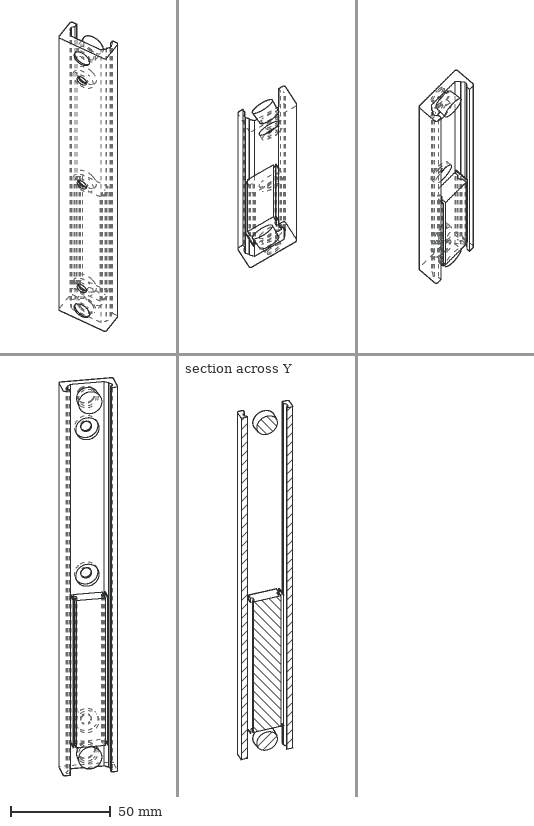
import cadquery as cq

LENGTH = 210.0
WIDTH = 28.0
DEPTH = 12.8

RAIL_DEPTH = 12.4
RAIL_CORNER_RADIUS = 1.0
FLOOR_Y = 4.2
FLOOR_HALF_WIDTH = 8.6
MOUTH_HALF_WIDTH = 10.5

GROOVE_Y = 8.6
RAIL_GROOVE_DEPTH = 1.3
RAIL_GROOVE_HEIGHT = 4.0
RAIL_GROOVE_FLAT = 1.3
SLIDER_GROOVE_DEPTH = 1.0
SLIDER_GROOVE_HEIGHT = 3.0
SLIDER_GROOVE_FLAT = 1.7

HOLE_DIAMETER = 5.5
COUNTERBORE_DIAMETER = 12.0
COUNTERBORE_Y = 1.3
HOLE_SPACING = 80.0

SHANK_DIAMETER = 9.0
SHANK_RECESS = 0.8
HEAD_ROOT_DIAMETER = 11.1
HEAD_TOP_DIAMETER = 12.0
HEAD_TOP_Y = 11.0
PIN_Z = 97.0

SLIDER_LENGTH = 80.5
SLIDER_CENTRE_Z = -49.8
SLIDER_WIDTH = 15.1
SLIDER_BOTTOM_Y = 5.0
CAGE_X = 8.8
CAGE_THICKNESS = 0.5


def groove_points(mouth_x, flat_x, height, flat_height):
    """Half-outline points of a trapezoidal groove, in order of rising Y."""
    return [
        (mouth_x, GROOVE_Y - height / 2),
        (flat_x, GROOVE_Y - flat_height / 2),
        (flat_x, GROOVE_Y + flat_height / 2),
        (mouth_x, GROOVE_Y + height / 2),
    ]


def mirrored_bar(right_side, length, centre_z):
    """Bar along Z whose section is the right-hand outline closed by its mirror image."""
    left_side = [(-x, y) for x, y in reversed(right_side)]
    return (
        cq.Workplane("XY", origin=(0, 0, centre_z))
        .polyline(right_side + left_side)
        .close()
        .extrude(length / 2, both=True)
    )


def cylinder_along_y(diameter, y_start, y_end, z):
    """Cylinder centred on X = 0 and pointing along +Y."""
    start = cq.Vector(0, y_start, z)
    return cq.Workplane(cq.Solid.makeCylinder(diameter / 2, y_end - y_start, start, cq.Vector(0, 1, 0)))


def cone_along_y(start_diameter, end_diameter, y_start, y_end, z):
    """Truncated cone centred on X = 0 and pointing along +Y."""
    start = cq.Vector(0, y_start, z)
    height = y_end - y_start
    return cq.Workplane(
        cq.Solid.makeCone(start_diameter / 2, end_diameter / 2, height, start, cq.Vector(0, 1, 0))
    )


def make_rail():
    block = (
        cq.Workplane("XY")
        .box(WIDTH, RAIL_DEPTH, LENGTH)
        .translate((0, RAIL_DEPTH / 2, 0))
        .edges("|Z")
        .fillet(RAIL_CORNER_RADIUS)
    )

    bevel = MOUTH_HALF_WIDTH - FLOOR_HALF_WIDTH
    groove = groove_points(
        MOUTH_HALF_WIDTH, MOUTH_HALF_WIDTH + RAIL_GROOVE_DEPTH, RAIL_GROOVE_HEIGHT, RAIL_GROOVE_FLAT
    )
    channel_side = [
        (FLOOR_HALF_WIDTH, FLOOR_Y),
        (MOUTH_HALF_WIDTH, FLOOR_Y + bevel),
        *groove,
        (MOUTH_HALF_WIDTH, RAIL_DEPTH),
    ]
    rail = block.cut(mirrored_bar(channel_side, LENGTH, 0))

    for z in (-HOLE_SPACING, 0, HOLE_SPACING):
        rail = rail.cut(cylinder_along_y(HOLE_DIAMETER, 0, FLOOR_Y, z))
        rail = rail.cut(cylinder_along_y(COUNTERBORE_DIAMETER, COUNTERBORE_Y, FLOOR_Y, z))

    for z in (-PIN_Z, PIN_Z):
        rail = rail.cut(cylinder_along_y(SHANK_DIAMETER, 0, FLOOR_Y, z))
    return rail


def make_stop_pin(z):
    """Pin whose shank ends slightly below the back face of the rail."""
    shank = cylinder_along_y(SHANK_DIAMETER, SHANK_RECESS, FLOOR_Y, z)
    head = cone_along_y(HEAD_ROOT_DIAMETER, HEAD_TOP_DIAMETER, FLOOR_Y, HEAD_TOP_Y, z)
    return shank.union(head)


def make_slider():
    """Bar with a ball groove along each side."""
    side_x = SLIDER_WIDTH / 2
    groove = groove_points(
        side_x, side_x - SLIDER_GROOVE_DEPTH, SLIDER_GROOVE_HEIGHT, SLIDER_GROOVE_FLAT
    )
    slider_side = [(side_x, SLIDER_BOTTOM_Y), *groove, (side_x, DEPTH)]
    return mirrored_bar(slider_side, SLIDER_LENGTH, SLIDER_CENTRE_Z)


def make_cage(side):
    """Thin strip whose outer lower edge rests on the bevel of the rail channel."""
    outer_x = CAGE_X + CAGE_THICKNESS / 2
    bottom_y = FLOOR_Y + outer_x - FLOOR_HALF_WIDTH
    height = RAIL_DEPTH - bottom_y
    return (
        cq.Workplane("XY")
        .box(CAGE_THICKNESS, height, SLIDER_LENGTH)
        .translate((side * CAGE_X, bottom_y + height / 2, SLIDER_CENTRE_Z))
    )


rail = make_rail()
slider = make_slider()
stop_pins = [make_stop_pin(z) for z in (-PIN_Z, PIN_Z)]
cages = [make_cage(side) for side in (-1, 1)]

bodies = [rail, slider, *stop_pins, *cages]
result = cq.Compound.makeCompound([body.val() for body in bodies])